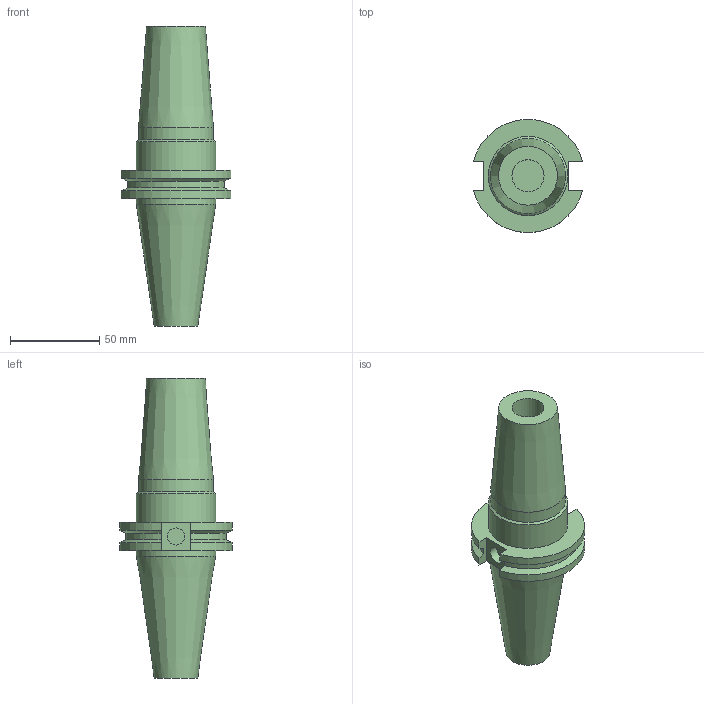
import cadquery as cq
import math

gauge_diameter = 44.45
shank_length = 68.25
taper_ratio = 7 / 24
shank_end_diameter = gauge_diameter - taper_ratio * shank_length

flange_diameter = 63.5
flange_bottom_z = 3.18
flange_top_z = 19.05
flange_middle_z = (flange_bottom_z + flange_top_z) / 2

groove_root_diameter = 56.4
groove_root_width = 3.8
groove_flank_angle = 25
groove_depth = (flange_diameter - groove_root_diameter) / 2
groove_flank_height = groove_depth * math.tan(math.radians(groove_flank_angle))
groove_mouth_width = groove_root_width + 2 * groove_flank_height

slot_width = 16.4
left_slot_floor = 25.0
right_slot_floor = 22.6

side_hole_diameter = 9.6
side_hole_depth = 5.0

nose_top_z = 100.0
nose_tip_diameter = 33.0
nose_base_diameter = 42.0
nose_cone_base_z = 43.0
collar_top_z = 36.1
collar_chamfer_height = 1.0

bore_diameter = 18.0
bore_depth = 50.0


def revolved_body():
    """Solid of revolution: shank, grooved flange, collar and nose."""
    gauge_radius = gauge_diameter / 2
    flange_radius = flange_diameter / 2
    groove_root_radius = groove_root_diameter / 2
    half_mouth = groove_mouth_width / 2
    half_root = groove_root_width / 2
    profile = [
        (0, -shank_length),
        (shank_end_diameter / 2, -shank_length),
        (gauge_radius, 0),
        (gauge_radius, flange_bottom_z),
        (flange_radius, flange_bottom_z),
        (flange_radius, flange_middle_z - half_mouth),
        (groove_root_radius, flange_middle_z - half_root),
        (groove_root_radius, flange_middle_z + half_root),
        (flange_radius, flange_middle_z + half_mouth),
        (flange_radius, flange_top_z),
        (gauge_radius, flange_top_z),
        (gauge_radius, collar_top_z - collar_chamfer_height),
        (nose_base_diameter / 2, collar_top_z),
        (nose_base_diameter / 2, nose_cone_base_z),
        (nose_tip_diameter / 2, nose_top_z),
        (0, nose_top_z),
    ]
    return cq.Workplane("XZ").polyline(profile).close().revolve(360, (0, 0, 0), (0, 1, 0))


def drive_slot(side, floor_distance):
    """Cutter for a drive slot on the +X (side = 1) or -X (side = -1) edge of the flange."""
    flange_thickness = flange_top_z - flange_bottom_z
    slot_length = flange_diameter / 2
    centre_x = side * (floor_distance + slot_length / 2)
    cutter = cq.Workplane("XY").box(slot_length, slot_width, flange_thickness)
    return cutter.translate((centre_x, 0, flange_middle_z))


def side_hole():
    """Cutter for the radial hole, entering from the left slot floor toward the axis."""
    floor_plane = cq.Plane(origin=(-left_slot_floor, 0, flange_middle_z), xDir=(0, 1, 0), normal=(1, 0, 0))
    return cq.Workplane(floor_plane).circle(side_hole_diameter / 2).extrude(side_hole_depth)


def tool_bore():
    """Cutter for the blind tool bore, entering from the nose tip."""
    bore = cq.Workplane("XY").workplane(offset=nose_top_z - bore_depth)
    return bore.circle(bore_diameter / 2).extrude(bore_depth)


result = (
    revolved_body()
    .cut(drive_slot(-1, left_slot_floor))
    .cut(drive_slot(1, right_slot_floor))
    .cut(side_hole())
    .cut(tool_bore())
)